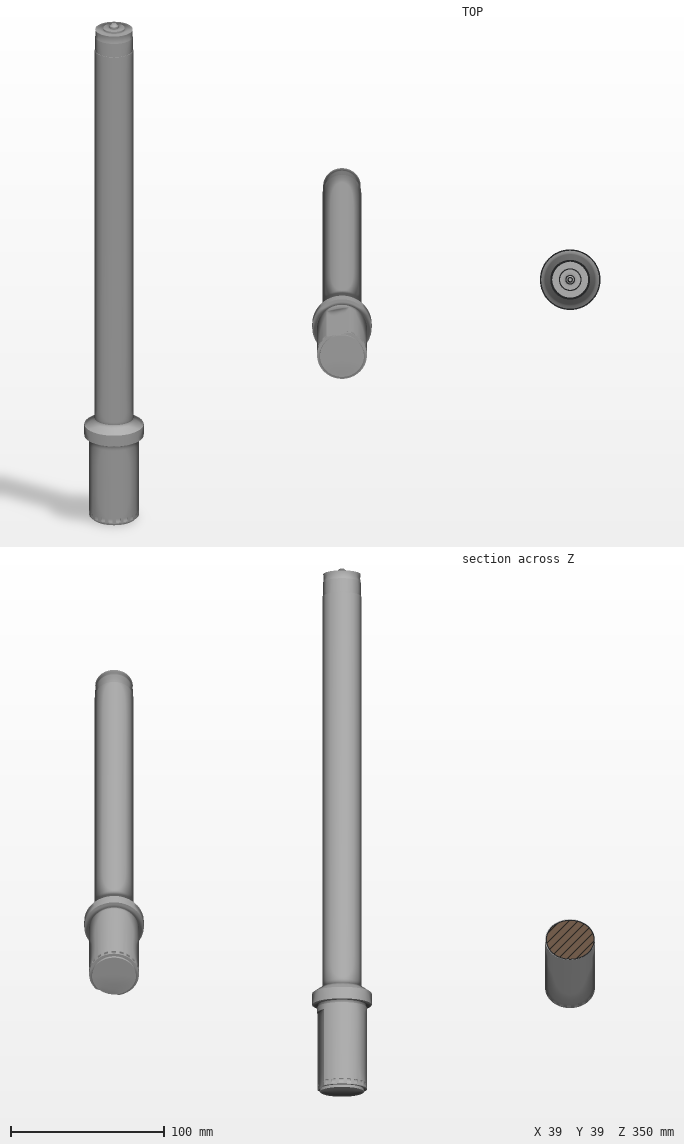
import cadquery as cq

total_height = 350.0

handle_diameter = 32.5
handle_radius = handle_diameter / 2
handle_top = 56.5
foot_radius = 14.5
foot_height = 1.8
flat_offset = 14.5
flat_top = 53.0

neck_radius = 15.8
collar_diameter = 39.0
collar_radius = collar_diameter / 2
collar_bottom = 58.0
collar_top = 65.8
cone_top = 70.5

tube_radius = 12.5
tube_top = 331.5
cap_radius = 12.2
cap_top = 346.0
groove_bottom = 341.0
groove_depth = 0.5

disc_radius = 7.0
disc_top = 347.2
pin_radius = 2.8
pin_chamfer = 1.5

notch_count = 20
notch_bottom = 2.5
notch_height = 2.8
notch_width = 2.8
notch_depth = 1.0


def turned_body():
    """Revolve the whole stepped silhouette about Z."""
    groove_middle = (cap_radius - groove_depth, (groove_bottom + cap_top) / 2)
    profile = (
        cq.Workplane("XZ")
        .lineTo(foot_radius, 0)
        .lineTo(foot_radius, foot_height)
        .lineTo(handle_radius, foot_height)
        .lineTo(handle_radius, handle_top)
        .lineTo(neck_radius, handle_top)
        .lineTo(neck_radius, collar_bottom)
        .lineTo(collar_radius, collar_bottom)
        .lineTo(collar_radius, collar_top)
        .lineTo(tube_radius, cone_top)
        .lineTo(tube_radius, tube_top)
        .lineTo(cap_radius, tube_top)
        .lineTo(cap_radius, groove_bottom)
        .threePointArc(groove_middle, (cap_radius, cap_top))
        .lineTo(disc_radius, cap_top)
        .lineTo(disc_radius, disc_top)
        .lineTo(pin_radius, disc_top)
        .lineTo(pin_radius, total_height - pin_chamfer)
        .lineTo(pin_radius - pin_chamfer, total_height)
        .lineTo(0, total_height)
        .close()
    )
    return profile.revolve(360, (0, 0), (0, 1))


def handle_flat():
    """Block that leaves a flat on the +Y side, ending below the handle's top lip."""
    return (
        cq.Workplane("XY")
        .center(0, handle_radius)
        .rect(2 * handle_radius, 2 * (handle_radius - flat_offset))
        .extrude(flat_top)
    )


def foot_notches():
    """Wedges with floors that slope outward towards the foot."""
    inner = handle_radius - notch_depth
    outer = handle_radius + notch_depth
    notch_top = notch_bottom + notch_height
    wedge = (
        cq.Workplane("XZ")
        .polyline([
            (handle_radius, notch_bottom),
            (outer, notch_bottom),
            (outer, notch_top),
            (inner, notch_top),
        ])
        .close()
        .extrude(notch_width / 2, both=True)
    )
    pitch_angle = 360 / notch_count
    notches = cq.Workplane("XY")
    for index in range(notch_count):
        turned = wedge.rotate((0, 0, 0), (0, 0, 1), index * pitch_angle)
        notches = notches.add(turned)
    return notches.combine()


result = turned_body().cut(foot_notches()).cut(handle_flat())